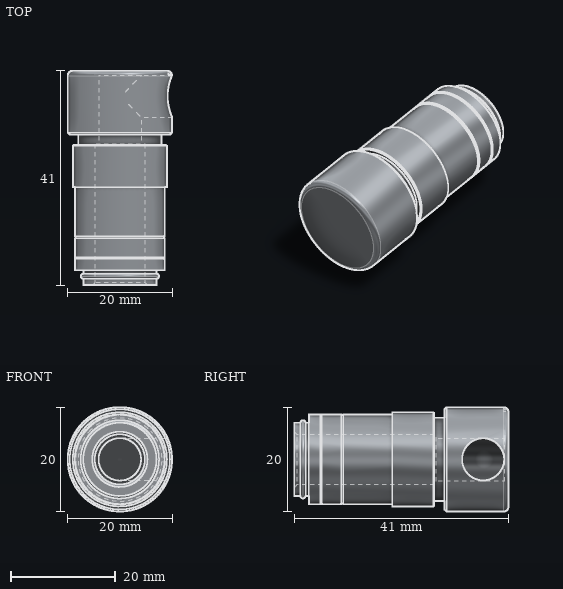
import cadquery as cq

length = 41.0
head_radius = 10.0

tip_radius = 7.0
body_radius = 8.6
body_start = 2.8
collar_radius = 9.0
collar_start = 18.75
collar_end = 26.8
collar_chamfer = 0.2
neck_radius = 8.0
head_start = 28.75
head_chamfer = 0.4
head_fillet = 1.0

groove_depth = 0.12
groove_spans = [(5.0, 5.3), (8.98, 9.35)]

ring_section_radius = 0.5
ring_center = 1.7

bore_radius = 4.8
bore_chamfer = 0.5
bore_depth = 27.05
inner_bore_radius = 4.05

port_radius = 4.0
port_center = 36.12
inner_bore_depth = port_center + port_radius


def cylinder(radius, start, end):
    """Cylinder about the Y axis, spanning start to end."""
    return cq.Workplane("XZ", origin=(0, start, 0)).circle(radius).extrude(start - end)


def make_outside():
    collar = cylinder(collar_radius, collar_start, collar_end).faces(">Y").chamfer(collar_chamfer)
    head = cylinder(head_radius, head_start, length).faces("<Y").chamfer(head_chamfer)
    head = head.faces(">Y").edges().fillet(head_fillet)
    outside = cylinder(tip_radius, 0, body_start)
    outside = outside.union(cylinder(body_radius, body_start, collar_start))
    outside = outside.union(collar)
    outside = outside.union(cylinder(neck_radius, collar_end, head_start))
    return outside.union(head)


def make_groove(start, end):
    return cylinder(body_radius, start, end).cut(cylinder(body_radius - groove_depth, start, end))


def make_ring():
    section = cq.Workplane("XY").center(tip_radius, ring_center).circle(ring_section_radius)
    return section.revolve(360, (-tip_radius, 0, 0), (-tip_radius, 1, 0))


def make_bore():
    mouth_radius = bore_radius + bore_chamfer
    profile = (
        cq.Workplane("XY")
        .lineTo(mouth_radius, 0)
        .lineTo(bore_radius, bore_chamfer)
        .lineTo(bore_radius, bore_depth)
        .lineTo(inner_bore_radius, bore_depth)
        .lineTo(inner_bore_radius, inner_bore_depth)
        .lineTo(0, inner_bore_depth)
        .close()
    )
    return profile.revolve(360, (0, 0, 0), (0, 1, 0))


def make_port():
    return cq.Workplane("YZ").center(port_center, 0).circle(port_radius).extrude(head_radius)


result = make_outside().union(make_ring())
for groove_start, groove_end in groove_spans:
    result = result.cut(make_groove(groove_start, groove_end))
result = result.cut(make_bore()).cut(make_port())